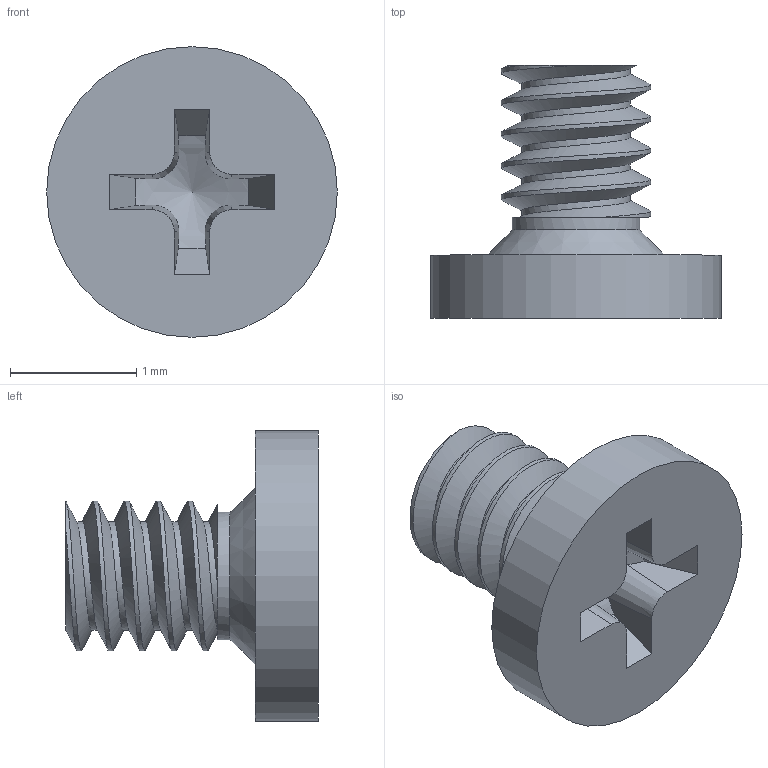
import cadquery as cq
import math


head_radius = 1.15
head_height = 0.5
neck_base_radius = 0.7
collar_radius = 0.505
neck_top = 0.7
collar_top = 0.8
screw_length = 2.0

pitch = 0.25
crest_radius = 0.592
root_radius = 0.43
crest_width = 0.034
flank_run = 0.083
groove_start = 0.455
groove_turns = 7
groove_clearance = 0.03

arm_reach = 0.654
arm_width = 0.281
inner_corner_radius = 0.175
side_draft = 4.6
end_draft = 27.5
recess_depth = 0.59
floor_angle = 23.0


def make_head():
    """Head, neck cone and collar as one turned shape."""
    return (
        cq.Workplane("XZ")
        .polyline([
            (0, 0),
            (head_radius, 0),
            (head_radius, head_height),
            (neck_base_radius, head_height),
            (collar_radius, neck_top),
            (collar_radius, collar_top),
            (0, collar_top),
        ])
        .close()
        .revolve(360, (0, 0, 0), (0, 1, 0))
    )


def make_threaded_shank():
    """Cylinder at the crest diameter with a right-handed helical groove cut into it."""
    flank_slope = flank_run / (crest_radius - root_radius)
    outer_radius = crest_radius + groove_clearance
    half_root = (pitch - crest_width) / 2 - flank_run
    half_mouth = half_root + flank_slope * (outer_radius - root_radius)
    helix = cq.Wire.makeHelix(
        pitch, groove_turns * pitch, root_radius, cq.Vector(0, 0, groove_start)
    )
    groove = (
        cq.Workplane("XZ")
        .polyline([
            (root_radius, groove_start - half_root),
            (outer_radius, groove_start - half_mouth),
            (outer_radius, groove_start + half_mouth),
            (root_radius, groove_start + half_root),
        ])
        .close()
        .sweep(cq.Workplane(helix), isFrenet=True)
    )
    blank = (
        cq.Workplane("XY", origin=(0, 0, collar_top))
        .circle(crest_radius)
        .extrude(screw_length - collar_top)
    )
    return blank.cut(groove)


def turn_point(x, y, degrees):
    """Point (x, y) turned about the screw axis."""
    angle = math.radians(degrees)
    return (
        x * math.cos(angle) - y * math.sin(angle),
        x * math.sin(angle) + y * math.cos(angle),
    )


def make_recess():
    """Cross with drafted sides, sloping arm ends and a conical floor."""
    half_width = arm_width / 2
    arc_end = half_width + inner_corner_radius
    arc_mid = arc_end - inner_corner_radius * math.sqrt(0.5)
    uncut_reach = arm_reach + arm_width

    cross = cq.Workplane("XY").moveTo(uncut_reach, -half_width)
    for quarter in range(4):
        angle = 90 * quarter
        cross = (
            cross
            .lineTo(*turn_point(uncut_reach, half_width, angle))
            .lineTo(*turn_point(arc_end, half_width, angle))
            .threePointArc(
                turn_point(arc_mid, arc_mid, angle),
                turn_point(half_width, arc_end, angle),
            )
            .lineTo(*turn_point(half_width, uncut_reach, angle))
        )
    cross = cross.close().extrude(recess_depth, taper=side_draft)

    end_walls = (
        cq.Workplane("XY")
        .rect(2 * arm_reach, 2 * arm_reach)
        .extrude(recess_depth, taper=end_draft)
    )

    floor_rim_depth = recess_depth - uncut_reach * math.tan(math.radians(floor_angle))
    floor = (
        cq.Workplane("XZ")
        .polyline([
            (0, 0),
            (uncut_reach, 0),
            (uncut_reach, floor_rim_depth),
            (0, recess_depth),
        ])
        .close()
        .revolve(360, (0, 0, 0), (0, 1, 0))
    )
    return cross.intersect(end_walls).intersect(floor)


screw = make_head().union(make_threaded_shank()).cut(make_recess())
result = screw.rotate((0, 0, 0), (1, 0, 0), -90)